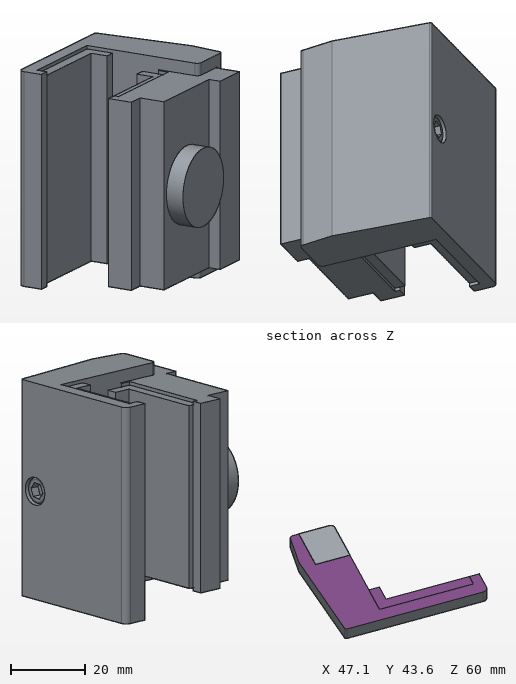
import cadquery as cq

clamp_length = 60.0
clamp_width = 38.5
clamp_height = 43.6
arm_thickness = 4.0
foot_thickness = 7.0
foot_height = 3.0
bar_underside_y = 29.75
left_shoulder_y = 41.15
right_shoulder_y = 42.35
ridge_x = 28.3
foot_fillet = 1.7
bar_end_fillet = 1.2
shoulder_fillet = 0.55

jaw_length = 52.55
pocket_end_clearance = 0.25
jaw_back_x = 29.05
jaw_toe_left_x = 27.6
jaw_toe_right_x = 34.7
jaw_body_right_x = 42.0
jaw_shelf_right_x = 45.4
jaw_bottom_y = 0.25
jaw_toe_top_y = 3.25
jaw_step_y = 5.0
jaw_shelf_underside_y = 29.2
jaw_top_y = 39.65

boss_radius = 10.9
boss_right_x = 47.1
boss_y = 17.3

liner_thickness = foot_thickness - arm_thickness
liner_lip_length = 7.9
liner_end_setback = 0.95
jaw_liner_front_x = jaw_back_x - liner_thickness

screw_radius = 3.6
screw_clearance = 0.25
screw_y = 35.7
screw_recess = 0.65
screw_fillet = 0.55
socket_across_corners = 4.7
socket_depth = 2.5
socket_turn = 7.5

pocket_end_x = jaw_liner_front_x


def prism(points, length):
    """Extrude an XY outline along Z, centred on Z = 0."""
    return cq.Workplane("XY").polyline(points).close().extrude(length / 2, both=True)


def rod(x_start, x_end, y, radius):
    """Cylinder along X at Z = 0."""
    plane = cq.Plane(origin=(x_start, y, 0), xDir=(0, -1, 0), normal=(1, 0, 0))
    return cq.Workplane(plane).circle(radius).extrude(x_end - x_start)


def make_clamp():
    body = prism(
        [
            (0, 0),
            (foot_thickness, 0),
            (foot_thickness, foot_height),
            (arm_thickness, foot_height),
            (arm_thickness, bar_underside_y),
            (clamp_width, bar_underside_y),
            (clamp_width, right_shoulder_y),
            (ridge_x, clamp_height),
            (0, left_shoulder_y),
        ],
        clamp_length,
    )
    corner_fillets = [
        ((0, 0), foot_fillet),
        ((0, left_shoulder_y), shoulder_fillet),
        ((clamp_width, right_shoulder_y), bar_end_fillet),
        ((clamp_width, bar_underside_y), bar_end_fillet),
    ]
    for (x, y), radius in corner_fillets:
        body = body.edges(cq.NearestToPointSelector((x, y, 0))).fillet(radius)

    pocket = prism(
        [
            (pocket_end_x, bar_underside_y),
            (clamp_width, bar_underside_y),
            (clamp_width, jaw_top_y),
            (pocket_end_x, jaw_top_y),
        ],
        jaw_length + 2 * pocket_end_clearance,
    )
    screw_hole = rod(0, pocket_end_x, screw_y, screw_radius + screw_clearance)
    return body.cut(pocket).cut(screw_hole)


def make_jaw():
    body = prism(
        [
            (jaw_toe_left_x, jaw_bottom_y),
            (jaw_toe_right_x, jaw_bottom_y),
            (jaw_toe_right_x, jaw_step_y),
            (jaw_body_right_x, jaw_step_y),
            (jaw_body_right_x, jaw_shelf_underside_y),
            (jaw_shelf_right_x, jaw_shelf_underside_y),
            (jaw_shelf_right_x, jaw_top_y),
            (pocket_end_x, jaw_top_y),
            (pocket_end_x, bar_underside_y),
            (jaw_back_x, bar_underside_y),
            (jaw_back_x, jaw_toe_top_y),
            (jaw_toe_left_x, jaw_toe_top_y),
        ],
        jaw_length,
    )
    boss = rod(jaw_body_right_x, boss_right_x, boss_y, boss_radius)
    return body.union(boss)


def make_liner(back_x, facing, bottom_y, carrier_length):
    """L-shaped pad; facing is +1 when it faces +X and -1 when it faces -X."""
    front_x = back_x + facing * liner_thickness
    lip_x = back_x + facing * liner_lip_length
    return prism(
        [
            (back_x, bottom_y),
            (front_x, bottom_y),
            (front_x, bar_underside_y - liner_thickness),
            (lip_x, bar_underside_y - liner_thickness),
            (lip_x, bar_underside_y),
            (back_x, bar_underside_y),
        ],
        carrier_length - 2 * liner_end_setback,
    )


def make_set_screw():
    socket = (
        cq.Workplane("YZ")
        .polygon(6, socket_across_corners)
        .extrude(socket_depth)
        .rotate((0, 0, 0), (1, 0, 0), socket_turn)
        .translate((screw_recess, screw_y, 0))
    )
    shank = rod(screw_recess, pocket_end_x, screw_y, screw_radius)
    return shank.faces("<X").edges().fillet(screw_fillet).cut(socket)


clamp = make_clamp()
jaw = make_jaw()
set_screw = make_set_screw()

liner_seats = [
    (arm_thickness, 1, foot_height, clamp_length),
    (jaw_back_x, -1, jaw_toe_top_y, jaw_length),
]
liners = [make_liner(*seat) for seat in liner_seats]

result = cq.Compound.makeCompound(
    [clamp.val(), jaw.val(), set_screw.val(), *[liner.val() for liner in liners]]
)